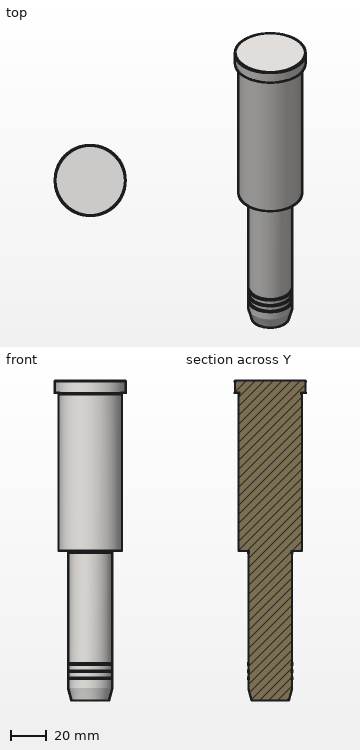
import cadquery as cq
import math

total_length = 180.0

edge_chamfer = 0.5

head_diameter = 40.0
head_height = 7.0

body_diameter = 36.0
body_bottom_z = 84.0

neck_depth = 0.5
body_neck_height = 0.5
pin_neck_height = 1.0

pin_diameter = 25.0
taper_height = 7.0
taper_angle = 15.0
tip_fillet = 0.5
taper_end_diameter = pin_diameter - 2 * taper_height * math.tan(math.radians(taper_angle))

groove_count = 3
groove_width = 1.0
groove_depth = 0.5
first_groove_bottom_z = 12.0
groove_pitch = 4.0


def cylinder(diameter, bottom_z, top_z):
    """Solid cylinder about Z between two heights."""
    return cq.Workplane("XY").workplane(offset=bottom_z).circle(diameter / 2).extrude(top_z - bottom_z)


def make_head():
    """Flat head with a chamfered top rim."""
    head = cylinder(head_diameter, total_length - head_height, total_length)
    return head.faces(">Z").edges().chamfer(edge_chamfer)


def make_body():
    """Thick shank chamfered at both ends, with the relief neck above it."""
    head_bottom_z = total_length - head_height
    neck_bottom_z = head_bottom_z - body_neck_height
    body = cylinder(body_diameter, body_bottom_z, neck_bottom_z)
    body = body.faces("<Z or >Z").edges().chamfer(edge_chamfer)
    return body.union(cylinder(body_diameter - 2 * neck_depth, neck_bottom_z, head_bottom_z))


def make_pin():
    """Thin shank with a relief neck on top, ending in a cone with a rounded tip."""
    neck_bottom_z = body_bottom_z - pin_neck_height
    neck = cylinder(pin_diameter - 2 * neck_depth, neck_bottom_z, body_bottom_z)
    shank = cylinder(pin_diameter, taper_height, neck_bottom_z)
    taper = (
        cq.Workplane("XY")
        .circle(taper_end_diameter / 2)
        .workplane(offset=taper_height)
        .circle(pin_diameter / 2)
        .loft(ruled=True)
    )
    return neck.union(shank).union(taper).faces("<Z").edges().fillet(tip_fillet)


def make_groove(bottom_z):
    """V-section ring to remove from the pin surface for one groove."""
    pin_radius = pin_diameter / 2
    profile = cq.Workplane("XZ").polyline([
        (pin_radius, bottom_z),
        (pin_radius, bottom_z + groove_width),
        (pin_radius - groove_depth, bottom_z + groove_width / 2),
    ]).close()
    return profile.revolve(360, (0, 0, 0), (0, 1, 0))


def make_grooved_pin():
    """Pin with its ring grooves."""
    pin = make_pin()
    for index in range(groove_count):
        pin = pin.cut(make_groove(first_groove_bottom_z + index * groove_pitch))
    return pin


result = make_head().union(make_body()).union(make_grooved_pin())